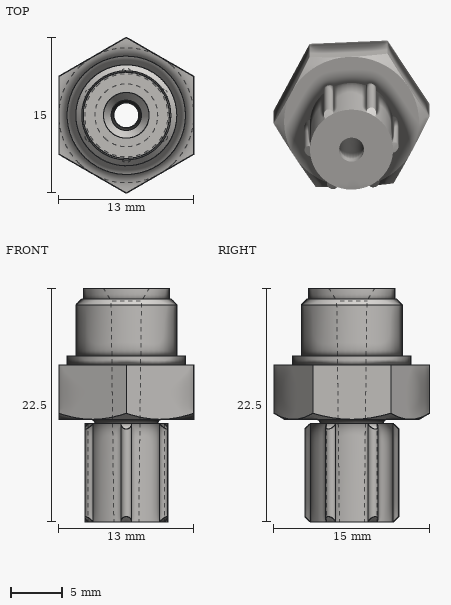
import cadquery as cq
import math

grip_top = 9.5
hex_bottom = 9.9
hex_top = 15.15
collar_top = 16.0
body_top = 21.5
total_height = 22.5

grip_diameter = 8.0
rib_count = 6
rib_first_angle = 30.0
rib_radius = 0.5
rib_center_radius = 4.03
neck_radius = 3.03
neck_flare_radius = hex_bottom - grip_top

hex_sides = 6
across_flats = 13.0
across_corners = across_flats / math.cos(math.pi / hex_sides)
hex_chamfer_angle = 30.0

collar_diameter = 11.4
body_diameter = 9.728
body_chamfer = 0.57
nose_diameter = 8.3

countersink_diameter = 4.4
countersink_depth = 1.2
bore_top_diameter = 2.92
bore_bottom_diameter = 2.4


def cylinder(diameter, bottom, top):
    """Round section on the Z axis between two heights."""
    return cq.Workplane("XY", origin=(0, 0, bottom)).circle(diameter / 2).extrude(top - bottom)


def revolve_about_z(profile):
    """Turn a closed XZ profile once around the Z axis."""
    return profile.close().revolve(360, (0, 0, 0), (0, 1, 0))


def make_ribs():
    """Round ribs around the grip, with both ends chamfered down to the grip diameter."""
    ribs = (
        cq.Workplane("XY")
        .polarArray(rib_center_radius, rib_first_angle, 360, rib_count)
        .circle(rib_radius)
        .extrude(grip_top)
    )
    outer_radius = rib_center_radius + rib_radius
    chamfer_height = outer_radius - grip_diameter / 2
    chamfered_envelope = cylinder(2 * outer_radius, 0, grip_top).edges().chamfer(chamfer_height)
    return ribs.intersect(chamfered_envelope)


def make_neck():
    """Short neck that flares in a quarter round up to the hexagon."""
    arc_offset = neck_flare_radius * (1 - math.sqrt(0.5))
    return revolve_about_z(
        cq.Workplane("XZ")
        .moveTo(0, grip_top)
        .lineTo(neck_radius, grip_top)
        .threePointArc(
            (neck_radius + arc_offset, hex_bottom - arc_offset),
            (neck_radius + neck_flare_radius, hex_bottom),
        )
        .lineTo(0, hex_bottom)
    )


def make_hexagon():
    """Hexagon whose lower corners are cut by a cone touching the flats."""
    hexagon = (
        cq.Workplane("XY", origin=(0, 0, hex_bottom))
        .polygon(hex_sides, across_corners)
        .extrude(hex_top - hex_bottom)
        .rotate((0, 0, 0), (0, 0, 1), 180 / hex_sides)
    )
    small_radius = across_flats / 2
    large_radius = across_corners / 2
    cone_height = (large_radius - small_radius) * math.tan(math.radians(hex_chamfer_angle))
    cone_envelope = revolve_about_z(
        cq.Workplane("XZ")
        .moveTo(0, hex_bottom)
        .lineTo(small_radius, hex_bottom)
        .lineTo(large_radius, hex_bottom + cone_height)
        .lineTo(large_radius, hex_top)
        .lineTo(0, hex_top)
    )
    return hexagon.intersect(cone_envelope)


def make_upper_end():
    """Collar, chamfered body and nose stacked above the hexagon."""
    collar = cylinder(collar_diameter, hex_top, collar_top)
    body = cylinder(body_diameter, collar_top, body_top).faces(">Z").chamfer(body_chamfer)
    nose = cylinder(nose_diameter, body_top, total_height)
    return collar.union(body).union(nose)


def make_bore():
    """Tapered through bore and the countersink at its upper mouth."""
    countersink_bottom = total_height - countersink_depth
    return revolve_about_z(
        cq.Workplane("XZ")
        .moveTo(0, 0)
        .lineTo(bore_bottom_diameter / 2, 0)
        .lineTo(bore_top_diameter / 2, countersink_bottom)
        .lineTo(countersink_diameter / 2, total_height)
        .lineTo(0, total_height)
    )


grip = cylinder(grip_diameter, 0, grip_top).union(make_ribs())
result = grip.union(make_neck()).union(make_hexagon()).union(make_upper_end()).cut(make_bore())